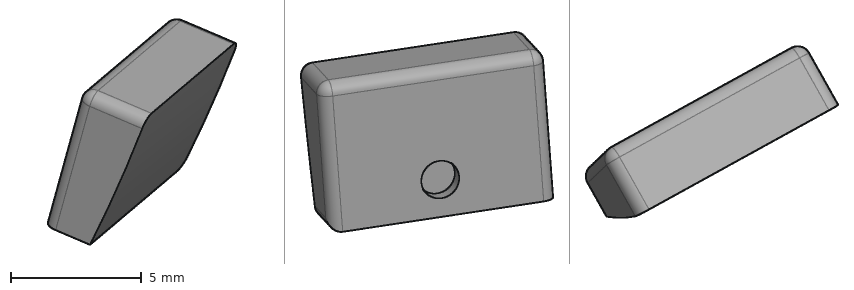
import cadquery as cq
import math

width = 9.0
height = 6.0
bottom_depth = 2.0
top_depth = 2.83
back_bulge = 0.07
edge_radius = 0.5
lean_angle = 15.0

hole_diameter = 1.5
hole_depth = 0.65
hole_height = 1.5


def side_profile():
    """Outline in XZ: flat front, bottom and top, with an arc for the back."""
    chord_angle = math.atan2(top_depth - bottom_depth, height)
    arc_middle = (
        (bottom_depth + top_depth) / 2 + back_bulge * math.cos(chord_angle),
        height / 2 - back_bulge * math.sin(chord_angle),
    )
    return (
        cq.Workplane("XZ")
        .lineTo(bottom_depth, 0)
        .threePointArc(arc_middle, (top_depth, height))
        .lineTo(0, height)
        .close()
    )


def rounded_block():
    """Block with round front and end edges; the front bottom edge stays sharp."""
    block = side_profile().extrude(width / 2, both=True)
    bottom_end_edge = cq.selectors.BoxSelector(
        (0, width / 2 - 0.09, -0.09), (bottom_depth, width / 2 + 0.09, 0.09)
    )
    edges = (
        block.faces("<X").edges("|Z or >Z")
        .add(block.faces(">Z").edges("<Y or >Y"))
        .add(block.edges(bottom_end_edge))
    )
    return edges.fillet(edge_radius)


def front_hole():
    """Blind round hole, square to the front face."""
    return (
        cq.Workplane("YZ")
        .center(0, hole_height)
        .circle(hole_diameter / 2)
        .extrude(hole_depth)
    )


upright = rounded_block().cut(front_hole())
result = upright.rotate((0, 0, 0), (0, 1, 0), lean_angle)